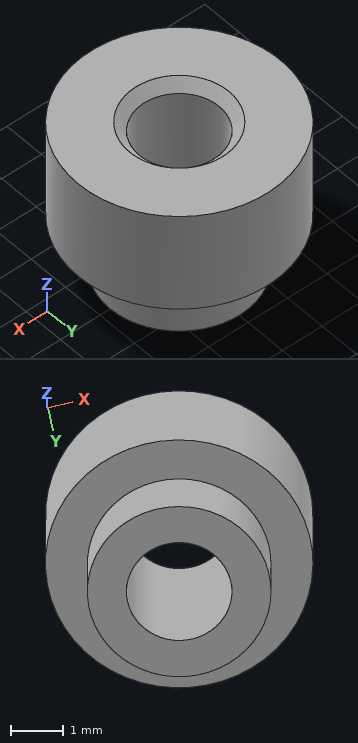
import cadquery as cq

head_diameter = 5.1
spigot_diameter = 3.5
bore_diameter = 2.01
countersink_diameter = 2.5
total_height = 3.9
spigot_height = 1.4

head_height = total_height - spigot_height
countersink_depth = (countersink_diameter - bore_diameter) / 2

spigot = cq.Workplane("XY").circle(spigot_diameter / 2).extrude(spigot_height)
body = spigot.faces(">Z").workplane().circle(head_diameter / 2).extrude(head_height)

bored_body = body.faces(">Z").workplane().hole(bore_diameter)

bore_mouth = cq.selectors.RadiusNthSelector(0)
result = bored_body.faces(">Z").edges(bore_mouth).chamfer(countersink_depth)